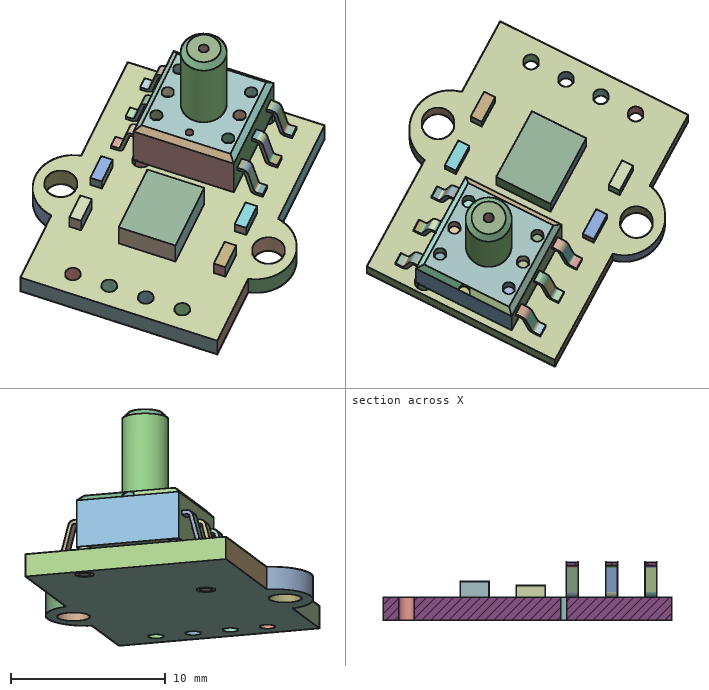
import cadquery as cq
import math


board_width = 13.73
board_length = 18.7
board_thickness = 1.5

ear_span = 18.0
ear_half_chord = 2.6
ear_y = -1.37
mount_hole_x = 7.24
mount_hole_diameter = 2.13

header_pitch = 2.55
header_count = 4
header_y = -7.84
header_hole_diameter = 1.01

chip_width = 3.96
chip_length = 5.01
chip_height = 1.74
chip_y = -1.93

small_part_width = 0.8
small_part_length = 1.89
small_part_x = 5.03
rear_part_y = 0.2
rear_part_height = 0.77
front_part_y = -3.42
front_part_height = 1.03

sensor_y = 5.45
body_side = 7.0
body_height = 3.5
body_chamfer = 0.4
standoff = 0.3

port_diameter = 3.0
port_height = 6.0
port_chamfer = 0.4
port_bore_diameter = 0.64

dimple_diameter = 0.8
dimple_x = 2.5
dimple_pitch = 2.0
dimple_rows = 3
vent_diameter = 0.5
vent_offset = 2.49
top_hole_depth = 1.0
notch_diameter = 0.8
notch_depth = 0.4

peg_diameter = 0.8
peg_offset = (body_side - peg_diameter) / 2
peg_hole_diameter = 1.2
foot_side = 0.55
foot_offset = 3.01

lead_width = 0.79
lead_thickness = 0.26
lead_pitch = header_pitch
lead_count = 3
lead_height = 2.28
lead_tip_x = 5.3
lead_shoulder_x = 3.83
lead_bend_angle = math.radians(75)
bend_inner_radius = 0.19
bend_outer_radius = bend_inner_radius + lead_thickness

body_top = standoff + body_height


def centred_row(count, pitch):
    """Positions of `count` items, evenly spaced about zero."""
    return [(i - (count - 1) / 2) * pitch for i in range(count)]


def opposite_corners(offset):
    """Two points at diagonally opposite corners of the sensor."""
    return [(side * offset, sensor_y + side * offset) for side in (-1, 1)]


def upright_cylinders(points, diameter, bottom, height):
    return cq.Workplane("XY", origin=(0, 0, bottom)).pushPoints(points).circle(diameter / 2).extrude(height)


def component_block(x, y, width, length, height):
    """Rectangular component standing on the board."""
    return cq.Workplane("XY").box(width, length, height, centered=(True, True, False)).translate((x, y, 0))


def make_board():
    edge_x = board_width / 2
    ear_tip_x = ear_span / 2
    half_length = board_length / 2
    ear_rear = ear_y + ear_half_chord
    ear_front = ear_y - ear_half_chord
    board = (
        cq.Workplane("XY", origin=(0, 0, -board_thickness))
        .moveTo(-edge_x, -half_length)
        .lineTo(edge_x, -half_length)
        .lineTo(edge_x, ear_front)
        .threePointArc((ear_tip_x, ear_y), (edge_x, ear_rear))
        .lineTo(edge_x, half_length)
        .lineTo(-edge_x, half_length)
        .lineTo(-edge_x, ear_rear)
        .threePointArc((-ear_tip_x, ear_y), (-edge_x, ear_front))
        .close()
        .extrude(board_thickness)
    )

    mount_points = [(-mount_hole_x, ear_y), (mount_hole_x, ear_y)]
    header_points = [(x, header_y) for x in centred_row(header_count, header_pitch)]
    for points, diameter in (
        (mount_points, mount_hole_diameter),
        (header_points, header_hole_diameter),
        (opposite_corners(peg_offset), peg_hole_diameter),
    ):
        board = board.cut(upright_cylinders(points, diameter, -board_thickness, board_thickness))

    board = board.union(component_block(0, chip_y, chip_width, chip_length, chip_height))
    for x in (-small_part_x, small_part_x):
        for y, height in ((rear_part_y, rear_part_height), (front_part_y, front_part_height)):
            board = board.union(component_block(x, y, small_part_width, small_part_length, height))
    return board


def make_sensor_body():
    """Chamfered block with marking dimples, a vent hole and a notch in its rear top edge."""
    body = (
        cq.Workplane("XY", origin=(0, sensor_y, standoff))
        .box(body_side, body_side, body_height, centered=(True, True, False))
        .faces(">Z")
        .chamfer(body_chamfer)
    )
    dimples = [
        (x, sensor_y + y)
        for x in (-dimple_x, dimple_x)
        for y in centred_row(dimple_rows, dimple_pitch)
    ]
    body = body.cut(upright_cylinders(dimples, dimple_diameter, body_top, -top_hole_depth))
    vent = [(0, sensor_y - vent_offset)]
    body = body.cut(upright_cylinders(vent, vent_diameter, body_top, -top_hole_depth))
    notch = [(0, sensor_y + body_side / 2)]
    return body.cut(upright_cylinders(notch, notch_diameter, body_top, -notch_depth))


def make_port():
    """Pressure port tube with a chamfered rim and a bore down to the body."""
    return (
        cq.Workplane("XY", origin=(0, sensor_y, body_top))
        .circle(port_diameter / 2)
        .extrude(port_height)
        .faces(">Z")
        .chamfer(port_chamfer)
        .cut(upright_cylinders([(0, sensor_y)], port_bore_diameter, body_top, port_height))
    )


def make_supports():
    """Round locating pegs on one diagonal, square feet on the other."""
    pegs = upright_cylinders(opposite_corners(peg_offset), peg_diameter, -board_thickness,
                             board_thickness + standoff)
    feet_points = [(side * foot_offset, sensor_y - side * foot_offset) for side in (-1, 1)]
    feet = cq.Workplane("XY").pushPoints(feet_points).rect(foot_side, foot_side).extrude(standoff)
    return pegs.union(feet)


def make_lead():
    """Gull-wing lead on the +X side, centred on Y = 0."""
    def on_bend(centre, radius, angle):
        """Point at `angle` round a bend, measured from straight above its centre."""
        return (centre[0] + radius * math.sin(angle), centre[1] + radius * math.cos(angle))

    shoulder_centre = (lead_shoulder_x, lead_height - bend_outer_radius)
    bend_radii = bend_outer_radius + bend_inner_radius
    ramp_drop = lead_height - lead_thickness - bend_radii * (1 - math.cos(lead_bend_angle))
    ramp_run = ramp_drop / math.tan(lead_bend_angle)
    foot_centre = (
        lead_shoulder_x + ramp_run + bend_radii * math.sin(lead_bend_angle),
        lead_thickness + bend_inner_radius,
    )
    half_bend = lead_bend_angle / 2
    return (
        cq.Workplane("XZ", origin=(0, lead_width / 2, 0))
        .moveTo(body_side / 2, lead_height)
        .lineTo(lead_shoulder_x, lead_height)
        .threePointArc(on_bend(shoulder_centre, bend_outer_radius, half_bend),
                       on_bend(shoulder_centre, bend_outer_radius, lead_bend_angle))
        .lineTo(*on_bend(foot_centre, -bend_inner_radius, lead_bend_angle))
        .threePointArc(on_bend(foot_centre, -bend_inner_radius, half_bend),
                       on_bend(foot_centre, -bend_inner_radius, 0))
        .lineTo(lead_tip_x, lead_thickness)
        .lineTo(lead_tip_x, 0)
        .lineTo(foot_centre[0], 0)
        .threePointArc(on_bend(foot_centre, -bend_outer_radius, half_bend),
                       on_bend(foot_centre, -bend_outer_radius, lead_bend_angle))
        .lineTo(*on_bend(shoulder_centre, bend_inner_radius, lead_bend_angle))
        .threePointArc(on_bend(shoulder_centre, bend_inner_radius, half_bend),
                       on_bend(shoulder_centre, bend_inner_radius, 0))
        .lineTo(body_side / 2, lead_height - lead_thickness)
        .close()
        .extrude(lead_width)
    )


def make_sensor():
    sensor = make_sensor_body().union(make_port()).union(make_supports())
    right_lead = make_lead()
    left_lead = right_lead.mirror("YZ")
    for y in centred_row(lead_count, lead_pitch):
        for lead in (left_lead, right_lead):
            sensor = sensor.union(lead.translate((0, sensor_y + y, 0)))
    return sensor


board = make_board()
sensor = make_sensor()

result = cq.Compound.makeCompound([board.solids().val(), sensor.solids().val()])